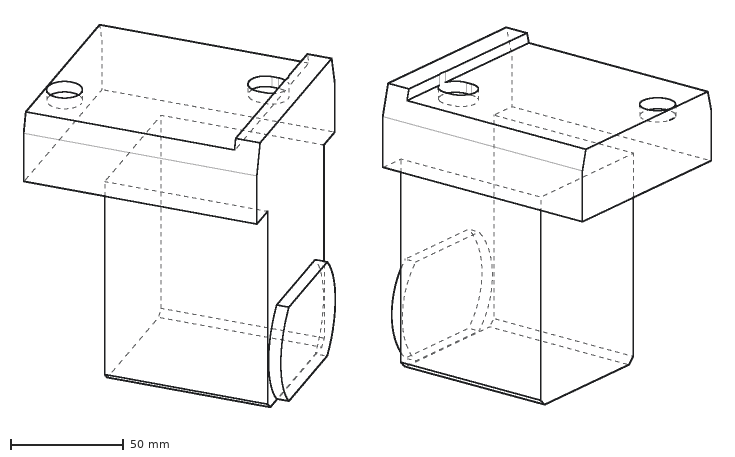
import cadquery as cq
import math

head_length = 111.6
head_width = 95.0
head_height = 38.9
total_height = 139.0
head_bottom = total_height - head_height
taper_height = 14.6
taper_angle = 15.0

lip_height = 5.1
lip_length = 11.7
seat_top = total_height - lip_height
seat_length = head_length - lip_length

body_length = 78.1
body_width = 68.4
body_chamfer = 3.0

boss_diameter = 66.5
boss_height = 47.3
boss_thickness = 5.8
boss_center_z = 24.0

pocket_depth = 5.3
pocket_diameter = 16.0
pocket_offset_y = 18.9
round_pocket_x = 8.3
long_pocket_x = 91.0
long_pocket_length = 18.5
long_pocket_width = 15.4


def make_head():
    half_width = head_width / 2
    taper_bottom = total_height - taper_height
    half_top = half_width - taper_height * math.tan(math.radians(taper_angle))
    profile = [
        (-half_width, head_bottom),
        (half_width, head_bottom),
        (half_width, taper_bottom),
        (half_top, total_height),
        (-half_top, total_height),
        (-half_width, taper_bottom),
    ]
    block = cq.Workplane("YZ").polyline(profile).close().extrude(head_length)
    seat_cut = cq.Workplane("XY").workplane(offset=seat_top).box(
        seat_length, head_width, lip_height, centered=(False, True, False)
    )
    return block.cut(seat_cut)


def make_body():
    block = cq.Workplane("XY").box(
        body_length, body_width, head_bottom, centered=(False, True, False)
    )
    block = block.faces("<Z").edges("|X").chamfer(body_chamfer)
    return block.translate((head_length - body_length, 0, 0))


def make_boss():
    plane = cq.Workplane("YZ", origin=(head_length, 0, boss_center_z))
    disc = plane.circle(boss_diameter / 2).extrude(boss_thickness)
    band = plane.rect(boss_diameter, boss_height).extrude(boss_thickness)
    return disc.intersect(band)


def make_pocket_cutters():
    floor = cq.Workplane("XY").workplane(offset=seat_top - pocket_depth)
    cut_height = pocket_depth + lip_height
    round_cutter = (
        floor.center(round_pocket_x, -pocket_offset_y)
        .circle(pocket_diameter / 2)
        .extrude(cut_height)
    )
    long_cutter = (
        floor.center(long_pocket_x, pocket_offset_y)
        .slot2D(long_pocket_length, long_pocket_width)
        .extrude(cut_height)
    )
    return round_cutter.union(long_cutter)


result = make_head().union(make_body()).union(make_boss()).cut(make_pocket_cutters())